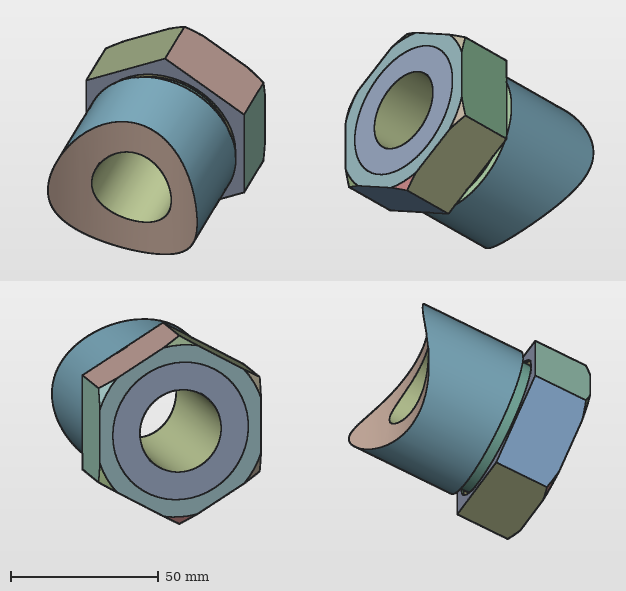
import cadquery as cq
import math

hex_corner_diameter = 66.0
nut_length = 21.1
chamfer_angle = 30.0
chamfer_radial_drop = 2.9

bore_diameter = 28.8
neck_diameter = 48.05
neck_gap = 3.8
recess_diameter = 51.1
recess_depth = 0.8
sleeve_diameter = 54.05
total_length = 63.6
saddle_radius = 36.5

hex_corner_radius = hex_corner_diameter / 2
sleeve_radius = sleeve_diameter / 2
sleeve_tip = total_length - nut_length


def cylinder_toward_front(diameter, start, end):
    """Cylinder along -Y between two distances in front of the nut."""
    return (
        cq.Workplane("XZ", origin=(0, -start, 0))
        .circle(diameter / 2)
        .extrude(end - start)
    )


def chamfer_envelope():
    """Cylinder around the hexagon with a conical outer end that trims its corners."""
    chamfer_height = chamfer_radial_drop * math.tan(math.radians(chamfer_angle))
    return (
        cq.Workplane("XY")
        .moveTo(0, 0)
        .lineTo(hex_corner_radius, 0)
        .lineTo(hex_corner_radius, nut_length - chamfer_height)
        .lineTo(hex_corner_radius - chamfer_radial_drop, nut_length)
        .lineTo(0, nut_length)
        .close()
        .revolve(360, (0, 0, 0), (0, 1, 0))
    )


def make_nut():
    """Hexagonal nut with corners up and down, recessed around the neck at its front face."""
    hexagon = (
        cq.Workplane("XZ")
        .transformed(rotate=(0, 0, 90))
        .polygon(6, hex_corner_diameter)
        .extrude(-nut_length)
    )
    neck_hole = cylinder_toward_front(neck_diameter, -nut_length, 0)
    recess = cylinder_toward_front(recess_diameter, -recess_depth, 0)
    return hexagon.intersect(chamfer_envelope()).cut(neck_hole).cut(recess)


def saddle_cutter():
    """Pipe-shaped cutter along Z whose surface passes through the sleeve's two tips."""
    tip_to_axis = math.sqrt(saddle_radius**2 - sleeve_radius**2)
    return (
        cq.Workplane("XY")
        .center(0, -(sleeve_tip + tip_to_axis))
        .circle(saddle_radius)
        .extrude(sleeve_radius, both=True)
    )


def make_sleeve():
    """Bored sleeve with a neck that fills the nut and a saddle cut at the free end."""
    neck = cylinder_toward_front(neck_diameter, -nut_length, neck_gap)
    barrel = cylinder_toward_front(sleeve_diameter, neck_gap, sleeve_tip)
    bore = cylinder_toward_front(bore_diameter, -nut_length, sleeve_tip)
    return neck.union(barrel).cut(bore).cut(saddle_cutter())


nut = make_nut()
sleeve = make_sleeve()

result = cq.Compound.makeCompound([*nut.solids().vals(), *sleeve.solids().vals()])